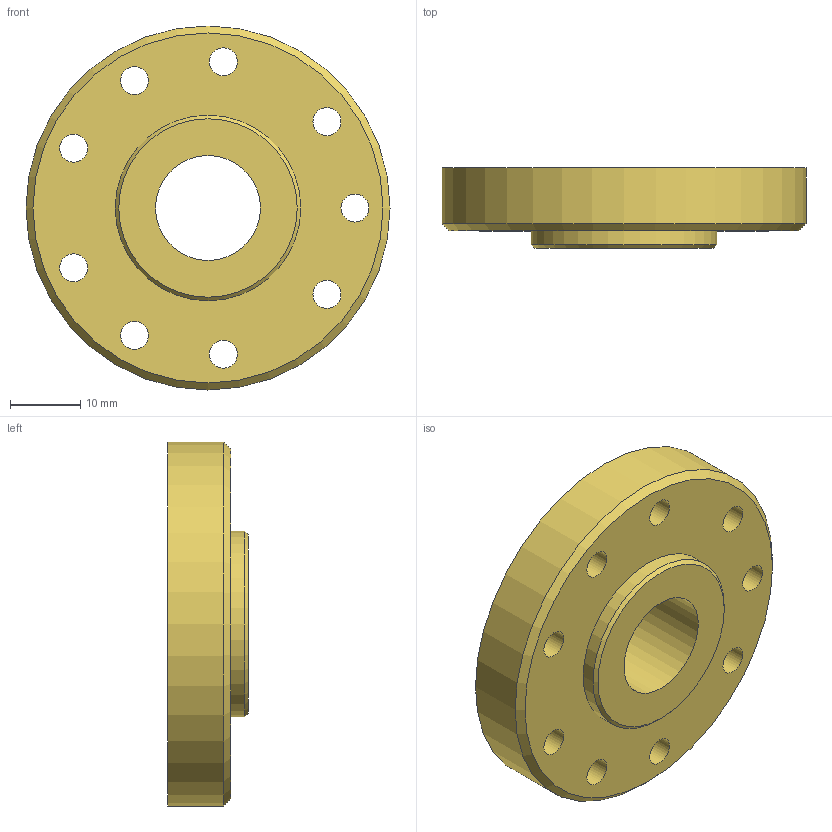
import cadquery as cq
import math

disc_diameter = 52.0
disc_thickness = 9.0
disc_chamfer = 1.0

hub_diameter = 26.5
hub_height = 2.5
hub_chamfer = 0.5

bore_diameter = 15.0

bolt_hole_diameter = 4.0
bolt_circle_radius = 21.0
group_count = 3
angle_in_group = 36.0

total_depth = disc_thickness + hub_height


def make_disc():
    """Disc from Y = 0 (front face) to Y = disc_thickness, chamfered at the front rim."""
    disc = cq.Workplane("XZ").circle(disc_diameter / 2).extrude(-disc_thickness)
    return disc.faces("<Y").edges().chamfer(disc_chamfer)


def make_hub():
    """Hub standing on the front face, chamfered at its free end."""
    hub = cq.Workplane("XZ").circle(hub_diameter / 2).extrude(hub_height)
    return hub.faces("<Y").edges().chamfer(hub_chamfer)


def make_bore():
    """Central bore through hub and disc."""
    front = cq.Workplane("XZ", origin=(0, -hub_height, 0))
    return front.circle(bore_diameter / 2).extrude(-total_depth)


def make_bolt_holes():
    """Through holes on the bolt circle; the first group is centred on +X."""
    centres = []
    for group in range(group_count):
        group_angle = group * 360.0 / group_count
        for offset in (-angle_in_group, 0, angle_in_group):
            angle = math.radians(group_angle + offset)
            centres.append((bolt_circle_radius * math.cos(angle), bolt_circle_radius * math.sin(angle)))
    return cq.Workplane("XZ").pushPoints(centres).circle(bolt_hole_diameter / 2).extrude(-disc_thickness)


result = make_disc().union(make_hub()).cut(make_bore()).cut(make_bolt_holes())